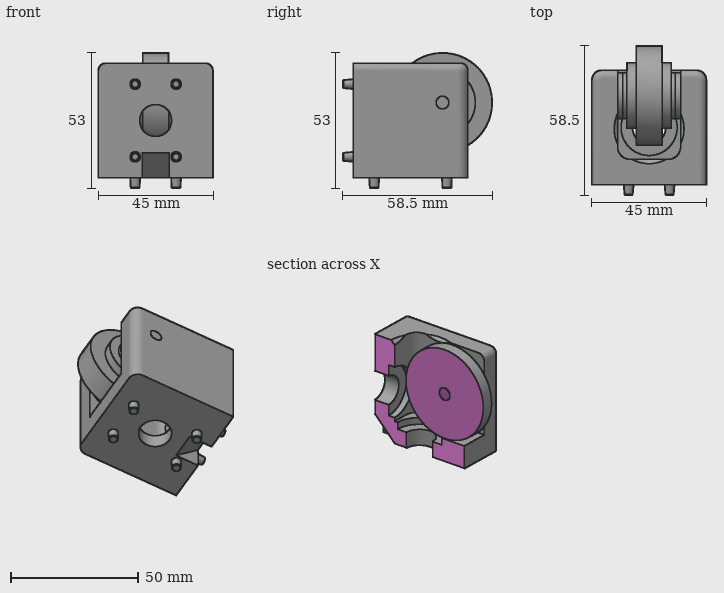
import cadquery as cq

SIDE = 45.0
REAR_EDGE_RADIUS = 4.0
TOP_EDGE_RADIUS = 3.0

SLOT_WIDTH = 24.7
SLOT_CORNER_RADIUS = 5.0
SLOT_START_Y = 10.0
SLOT_FLOOR_Z = 9.95

RELIEF_DIAMETER = 27.4
RELIEF_CENTRE_Y = 22.0

FRONT_BORE_DIAMETER = 12.5
FLOOR_BORE_DIAMETER = 13.0
RECESS_DIAMETER = 22.0
RECESS_DEPTH = 3.0

NOTCH_WIDTH = 10.65
NOTCH_LEG = 9.95

STUD_OFFSET_X = 8.0
STUD_SPACING = 28.5
STUD_LENGTH = 4.0
STUD_TIP_CHAMFER = 0.3
STUD_ROOT_DIAMETER = 4.0
FRONT_STUD_TIP_DIAMETER = 3.3
BASE_STUD_TIP_DIAMETER = 3.6
FIRST_STUD = (SIDE - STUD_SPACING) / 2

WHEEL_DIAMETER = 39.0
WHEEL_WIDTH = 10.1
HUB_DIAMETER = 25.8
HUB_WIDTH = 17.45
AXLE_DIAMETER = 5.0
WHEEL_REAR_OVERHANG = 9.55
WHEEL_TOP_OVERHANG = 4.05
AXLE_Y = SIDE + WHEEL_REAR_OVERHANG - WHEEL_DIAMETER / 2
AXLE_Z = SIDE + WHEEL_TOP_OVERHANG - WHEEL_DIAMETER / 2
SPACER_DIAMETER = 18.0
OUTER_SPACER_THICKNESS = 2.1
INNER_SPACER_THICKNESS = (SLOT_WIDTH - HUB_WIDTH) / 2 - OUTER_SPACER_THICKNESS


def axle_disc(diameter, start_x, length):
    """Cylinder centred on the axle line, running in +X from start_x."""
    return (
        cq.Workplane("YZ", origin=(start_x, AXLE_Y, AXLE_Z))
        .circle(diameter / 2)
        .extrude(length)
    )


AXLE = axle_disc(AXLE_DIAMETER, -SIDE / 2, SIDE)


def make_block():
    """Cube with rounded rear corners and a rounded top rim on three sides."""
    block = cq.Workplane("XY").box(SIDE, SIDE, SIDE, centered=(True, False, False))
    block = block.edges("|Z and >Y").fillet(REAR_EDGE_RADIUS)
    return block.faces(">Z").edges("not <Y").fillet(TOP_EDGE_RADIUS)


def make_slot():
    """Open-backed slot for the wheel, rounded at its closed end."""
    return (
        cq.Workplane("XY", origin=(0, SLOT_START_Y, SLOT_FLOOR_Z))
        .box(SLOT_WIDTH, SIDE, SIDE, centered=(True, False, False))
        .edges("|Z and <Y")
        .fillet(SLOT_CORNER_RADIUS)
    )


def make_relief():
    """Cone with 45 degree sides, widest at the top face."""
    radius = RELIEF_DIAMETER / 2
    top_centre = cq.Vector(0, RELIEF_CENTRE_Y, SIDE)
    cone = cq.Solid.makeCone(radius, 0, radius, pnt=top_centre, dir=cq.Vector(0, 0, -1))
    return cq.Workplane("XY").add(cone)


def make_recessed_bore(diameter, wall, recess_end):
    """Bore from Z = 0 through a wall, widened from RECESS_DEPTH below its inner face to recess_end."""
    recess_start = wall - RECESS_DEPTH
    bore = cq.Workplane("XY").circle(diameter / 2).extrude(wall)
    recess = (
        cq.Workplane("XY", origin=(0, 0, recess_start))
        .circle(RECESS_DIAMETER / 2)
        .extrude(recess_end - recess_start)
    )
    return bore.union(recess)


def make_front_bore():
    """Recessed bore in from the mounting face, also clearing the rounded slot corners."""
    bore = make_recessed_bore(FRONT_BORE_DIAMETER, SLOT_START_Y, SLOT_START_Y + SLOT_CORNER_RADIUS)
    return bore.rotate((0, 0, 0), (1, 0, 0), -90).translate((0, 0, SIDE / 2))


def make_floor_bore():
    """Recessed bore from the base up into the slot floor."""
    bore = make_recessed_bore(FLOOR_BORE_DIAMETER, SLOT_FLOOR_Z, SLOT_FLOOR_Z)
    return bore.translate((0, SIDE / 2, 0))


def make_notch():
    """Triangular prism that cuts the lower front edge at 45 degrees."""
    return (
        cq.Workplane("YZ", origin=(-NOTCH_WIDTH / 2, 0, 0))
        .polyline([(0, 0), (NOTCH_LEG, 0), (0, NOTCH_LEG)])
        .close()
        .extrude(NOTCH_WIDTH)
    )


def make_stud(tip_diameter):
    """Tapered stud with a chamfered tip, standing on Z = 0 and pointing up."""
    root_radius = STUD_ROOT_DIAMETER / 2
    tip_radius = tip_diameter / 2
    return (
        cq.Workplane("XZ")
        .polyline(
            [
                (0, 0),
                (root_radius, 0),
                (tip_radius, STUD_LENGTH - STUD_TIP_CHAMFER),
                (tip_radius - STUD_TIP_CHAMFER, STUD_LENGTH),
                (0, STUD_LENGTH),
            ]
        )
        .close()
        .revolve(360, (0, 0, 0), (0, 1, 0))
    )


def make_housing():
    housing = (
        make_block()
        .cut(make_slot())
        .cut(make_relief())
        .cut(make_front_bore())
        .cut(make_floor_bore())
        .cut(make_notch())
        .cut(AXLE)
    )
    front_stud = make_stud(FRONT_STUD_TIP_DIAMETER).rotate((0, 0, 0), (1, 0, 0), 90)
    base_stud = make_stud(BASE_STUD_TIP_DIAMETER).rotate((0, 0, 0), (1, 0, 0), 180)
    for x in (-STUD_OFFSET_X, STUD_OFFSET_X):
        for distance in (FIRST_STUD, FIRST_STUD + STUD_SPACING):
            housing = housing.union(front_stud.translate((x, 0, distance)))
            housing = housing.union(base_stud.translate((x, distance, 0)))
    return housing


def make_wheel():
    """Wheel with a wider hub, bored for the axle."""
    rim = axle_disc(WHEEL_DIAMETER, -WHEEL_WIDTH / 2, WHEEL_WIDTH)
    hub = axle_disc(HUB_DIAMETER, -HUB_WIDTH / 2, HUB_WIDTH)
    return rim.union(hub).cut(AXLE)


def make_spacer(start_x, thickness):
    """Ring on the axle between the hub and a slot wall."""
    return axle_disc(SPACER_DIAMETER, start_x, thickness).cut(AXLE)


housing = make_housing()
wheel = make_wheel()

spacers = []
for side in (-1, 1):
    inner_centre = side * (HUB_WIDTH + INNER_SPACER_THICKNESS) / 2
    outer_centre = side * (SLOT_WIDTH - OUTER_SPACER_THICKNESS) / 2
    spacers.append(make_spacer(inner_centre - INNER_SPACER_THICKNESS / 2, INNER_SPACER_THICKNESS))
    spacers.append(make_spacer(outer_centre - OUTER_SPACER_THICKNESS / 2, OUTER_SPACER_THICKNESS))

result = cq.Compound.makeCompound(
    [housing.val(), wheel.val(), AXLE.val(), *[spacer.val() for spacer in spacers]]
)